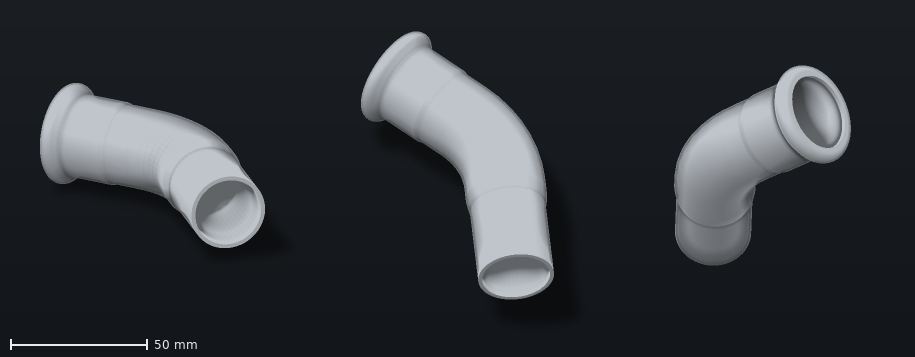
import math

import cadquery as cq


wall = 1.5
socket_radius = 31.0 / 2
tube_radius = 29.93 / 2
spigot_radius = 28.0 / 2
stop_bore_radius = 24.8 / 2

bead_outer_radius = 37.7 / 2
bead_section_radius = 3.0
bead_flank_angle = 45.0
bead_root_fillet = 2.0

shoulder_start = 23.6
shoulder_angle = 15.0
shoulder_top_fillet = 2.8
shoulder_foot_fillet = 1.4
stop_start = 24.3

bend_start = 34.93
bend_radius = 42.0
bend_angle = 45.0
leg_straight_length = 6.0
neck_length = 5.6
spigot_length = 31.0

socket_bore_radius = socket_radius - wall
tube_bore_radius = tube_radius - wall
bead_center_radius = bead_outer_radius - bead_section_radius


def on_circle(center, radius, degrees):
    """Point on a circle, measured counter-clockwise from the +X direction."""
    angle = math.radians(degrees)
    return (center[0] + radius * math.cos(angle), center[1] + radius * math.sin(angle))


def revolve_about_x(profile):
    return profile.close().revolve(360, (0, 0, 0), (1, 0, 0))


def bead_root_center():
    """Centre of the fillet that joins the bead flank to the socket cylinder."""
    flank = math.radians(bead_flank_angle)
    center_radius = socket_radius + bead_root_fillet
    normal_gap = bead_section_radius + bead_root_fillet
    radial_gap = bead_center_radius - center_radius
    axial_gap = (normal_gap + radial_gap * math.cos(flank)) / math.sin(flank)
    return (bead_section_radius + axial_gap, center_radius)


def make_socket():
    bead_center = (bead_section_radius, bead_center_radius)
    root_center = bead_root_center()
    flank_normal = 90 - bead_flank_angle
    bead_middle = (180 + flank_normal) / 2
    root_flank_end = 180 + flank_normal
    root_middle = (root_flank_end + 270) / 2
    groove_radius = bead_section_radius - wall
    groove_root_radius = bead_root_fillet + wall

    slope = math.radians(shoulder_angle)
    top_center = (shoulder_start, socket_radius - shoulder_top_fillet)
    taper_top = on_circle(top_center, shoulder_top_fillet, 90 - shoulder_angle)
    foot_center_radius = tube_radius + shoulder_foot_fillet
    taper_foot_radius = foot_center_radius - shoulder_foot_fillet * math.cos(slope)
    taper_foot_x = taper_top[0] + (taper_top[1] - taper_foot_radius) / math.tan(slope)
    shoulder_end = taper_foot_x + shoulder_foot_fillet * math.sin(slope)
    foot_center = (shoulder_end, foot_center_radius)

    profile = (
        cq.Workplane("XY")
        .moveTo(0, socket_bore_radius)
        .lineTo(0, bead_center_radius)
        .threePointArc(
            on_circle(bead_center, bead_section_radius, bead_middle),
            on_circle(bead_center, bead_section_radius, flank_normal),
        )
        .lineTo(*on_circle(root_center, bead_root_fillet, root_flank_end))
        .threePointArc(
            on_circle(root_center, bead_root_fillet, root_middle),
            on_circle(root_center, bead_root_fillet, 270),
        )
        .lineTo(shoulder_start, socket_radius)
        .threePointArc(
            on_circle(top_center, shoulder_top_fillet, 90 - shoulder_angle / 2),
            taper_top,
        )
        .lineTo(taper_foot_x, taper_foot_radius)
        .threePointArc(
            on_circle(foot_center, shoulder_foot_fillet, 270 - shoulder_angle / 2),
            (shoulder_end, tube_radius),
        )
        .lineTo(bend_start, tube_radius)
        .lineTo(bend_start, tube_bore_radius)
        .lineTo(shoulder_end, tube_bore_radius)
        .lineTo(shoulder_end, stop_bore_radius)
        .lineTo(stop_start, stop_bore_radius)
        .lineTo(stop_start, socket_bore_radius)
        .lineTo(root_center[0], socket_bore_radius)
        .threePointArc(
            on_circle(root_center, groove_root_radius, root_middle),
            on_circle(root_center, groove_root_radius, root_flank_end),
        )
        .lineTo(*on_circle(bead_center, groove_radius, flank_normal))
        .threePointArc(
            on_circle(bead_center, groove_radius, bead_middle),
            on_circle(bead_center, groove_radius, 180),
        )
        .lineTo(wall, socket_bore_radius)
    )
    return revolve_about_x(profile)


def make_bend():
    return (
        cq.Workplane("YZ", origin=(bend_start, 0, 0))
        .circle(tube_radius)
        .circle(tube_bore_radius)
        .revolve(bend_angle, (-bend_radius, 1, 0), (-bend_radius, 0, 0), clean=False)
    )


def make_leg():
    """Straight tube, curved neck and spigot, built along X and then swung to the bend's end."""
    neck_end = leg_straight_length + neck_length
    leg_end = neck_end + spigot_length

    neck_drop = tube_radius - spigot_radius
    neck_arc_radius = (neck_length**2 + neck_drop**2) / (2 * neck_drop)
    neck_sweep = math.degrees(math.asin(neck_length / neck_arc_radius))
    outer_center = (leg_straight_length, tube_radius - neck_arc_radius)
    inner_center = (leg_straight_length, outer_center[1] - wall)
    neck_middle = 90 - neck_sweep / 2

    profile = (
        cq.Workplane("XY")
        .moveTo(0, tube_bore_radius)
        .lineTo(0, tube_radius)
        .lineTo(leg_straight_length, tube_radius)
        .threePointArc(
            on_circle(outer_center, neck_arc_radius, neck_middle),
            (neck_end, spigot_radius),
        )
        .lineTo(leg_end, spigot_radius)
        .lineTo(leg_end, spigot_radius - wall)
        .lineTo(neck_end, spigot_radius - wall)
        .threePointArc(
            on_circle(inner_center, neck_arc_radius, neck_middle),
            (leg_straight_length, tube_bore_radius),
        )
    )
    bend_center = (bend_start, -bend_radius)
    bend_end = on_circle(bend_center, bend_radius, 90 - bend_angle)
    return (
        revolve_about_x(profile)
        .rotate((0, 0, 0), (0, 0, 1), -bend_angle)
        .translate((bend_end[0], bend_end[1], 0))
    )


result = make_socket().union(make_bend()).union(make_leg())